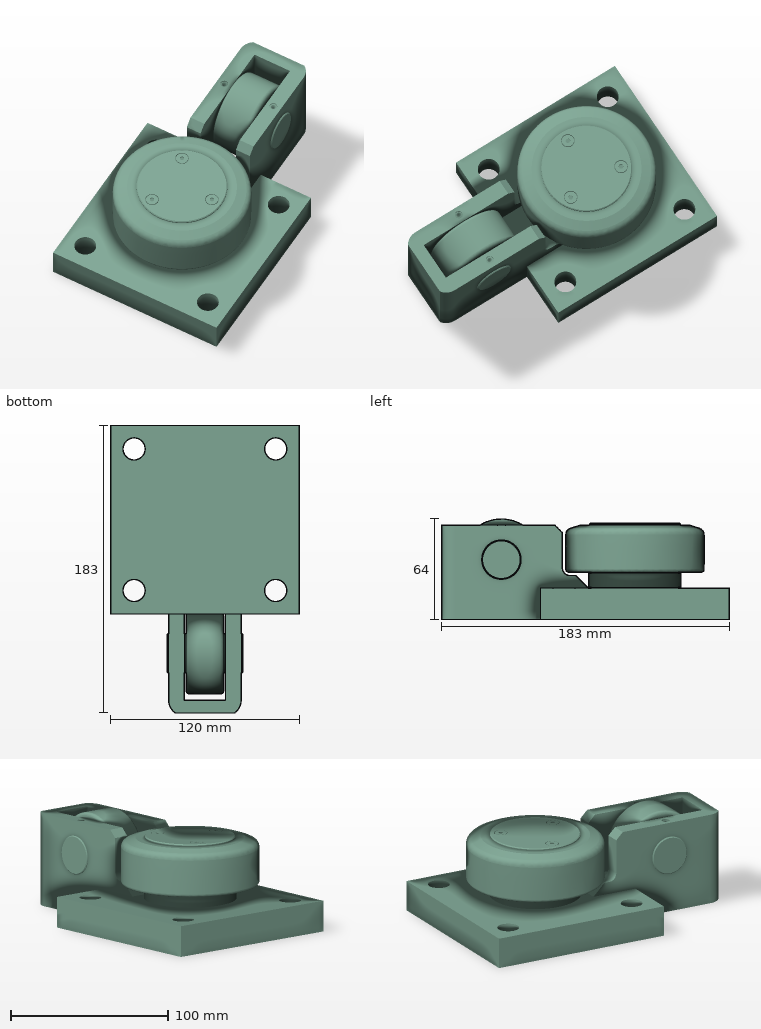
import cadquery as cq
import math

overall_length = 183

plate_side = 120.0
plate_thickness = 20.0
bolt_hole_diameter = 13.9
bolt_hole_offset = 45.0

neck_diameter = 55.3
collar_diameter = 59.0
collar_gap = 0.5
roller_diameter = 88.4
roller_bulge = 0.2
roller_bottom = 30.0
roller_top = 60.0
roller_bottom_fillet = 2.0
crown_flat_radius = 35.0
crown_angle = 18
crown_fillet = 4.4

cover_diameter = 57.8
cover_height = 1.3
cover_chamfer = 0.5
screw_count = 3
screw_circle_radius = 22.0
screw_recess_diameter = 8.6
screw_head_diameter = 7.9
screw_gap_depth = 1.0
screw_socket_corners = 6
screw_socket_width = 3.1
screw_socket_depth = 0.5

fork_back = overall_length - plate_side / 2
fork_width = 46.3
fork_height = roller_top
fork_slot_width = 26.0
fork_back_wall = 8.2
fork_corner_radius = 10.0
fork_corner_inset = 4.4
fork_front = 46.1
fork_top_chamfer = 4.8
fork_foot_top = 28.0
fork_foot_fillet = 5.0
fork_foot_tip = collar_diameter / 2

axle_setback = 38.0
axle_y = fork_back - axle_setback
axle_z = 38.0
side_roller_diameter = 52.0
side_roller_bulge = 0.2
side_roller_width = 24.0
side_roller_fillet = 2.0
pin_diameter = 25.0
pin_length = 48.1
pin_chamfer = 0.5

set_screw_diameter = 5.0
set_screw_depth = 0.5
set_screw_socket_diameter = 3.1
set_screw_socket_angle = 45
set_screw_socket_depth = 1.3


def make_plate():
    plate = cq.Workplane("XY").box(plate_side, plate_side, plate_thickness, centered=(True, True, False))
    return (
        plate.faces(">Z").workplane()
        .rect(2 * bolt_hole_offset, 2 * bolt_hole_offset, forConstruction=True)
        .vertices().hole(bolt_hole_diameter)
    )


def make_main_roller():
    roller_radius = roller_diameter / 2 - roller_bulge
    crown_run = roller_radius - crown_flat_radius
    crown_drop = crown_run * math.tan(math.radians(crown_angle))
    rim = (
        cq.Workplane("XZ")
        .moveTo(0, roller_bottom)
        .lineTo(roller_radius, roller_bottom)
        .threePointArc(
            (roller_radius + roller_bulge, (roller_bottom + roller_top - crown_drop) / 2),
            (roller_radius, roller_top - crown_drop),
        )
        .lineTo(crown_flat_radius, roller_top)
        .lineTo(0, roller_top)
        .close()
        .revolve(360, (0, 0, 0), (0, 1, 0))
    )
    rim = rim.faces("<Z").edges().fillet(roller_bottom_fillet)
    rim = rim.edges("%CIRCLE").edges(">>Z[-2]").fillet(crown_fillet)
    neck = (
        cq.Workplane("XY", origin=(0, 0, plate_thickness))
        .circle(neck_diameter / 2)
        .extrude(roller_bottom - plate_thickness)
    )
    collar = (
        cq.Workplane("XY", origin=(0, 0, plate_thickness + collar_gap))
        .circle(collar_diameter / 2)
        .extrude(roller_bottom - plate_thickness - 2 * collar_gap)
    )
    return neck.union(collar).union(rim)


def make_cover():
    return (
        cq.Workplane("XY", origin=(0, 0, roller_top))
        .circle(cover_diameter / 2)
        .extrude(cover_height)
        .faces(">Z").edges().chamfer(cover_chamfer)
    )


def cut_screws(body):
    places = cq.Workplane("XY", origin=(0, 0, roller_top + cover_height)).polarArray(
        screw_circle_radius, 0, 360, screw_count
    )
    gaps = places.circle(screw_recess_diameter / 2).circle(screw_head_diameter / 2).extrude(-screw_gap_depth)
    sockets = places.polygon(screw_socket_corners, screw_socket_width).extrude(-screw_socket_depth)
    return body.cut(gaps).cut(sockets)


def make_fork():
    half_width = fork_width / 2
    slot_half_width = fork_slot_width / 2
    slot_back = fork_back - fork_back_wall
    corner_reach = math.sqrt(fork_corner_radius**2 - (fork_corner_radius - fork_corner_inset) ** 2)
    corner_end = (half_width - fork_corner_inset, fork_back)
    corner_start = (half_width, fork_back - corner_reach)
    plan = (
        cq.Workplane("XY")
        .moveTo(half_width, 0)
        .lineTo(*corner_start)
        .radiusArc(corner_end, -fork_corner_radius)
        .lineTo(-corner_end[0], corner_end[1])
        .radiusArc((-corner_start[0], corner_start[1]), -fork_corner_radius)
        .lineTo(-half_width, 0)
        .lineTo(-slot_half_width, 0)
        .lineTo(-slot_half_width, slot_back)
        .lineTo(slot_half_width, slot_back)
        .lineTo(slot_half_width, 0)
        .close()
        .extrude(fork_height)
    )
    side = (
        cq.Workplane("YZ", origin=(-half_width, 0, 0))
        .moveTo(fork_back, 0)
        .lineTo(fork_back, fork_height)
        .lineTo(fork_front + fork_top_chamfer, fork_height)
        .lineTo(fork_front, fork_height - fork_top_chamfer)
        .lineTo(fork_front, fork_foot_top + fork_foot_fillet)
        .radiusArc((fork_front - fork_foot_fillet, fork_foot_top), fork_foot_fillet)
        .lineTo(fork_foot_tip + fork_foot_top - plate_thickness, fork_foot_top)
        .lineTo(fork_foot_tip, plate_thickness)
        .lineTo(plate_side / 2, plate_thickness)
        .lineTo(plate_side / 2, 0)
        .close()
        .extrude(fork_width)
    )
    return plan.intersect(side)


def make_axle():
    pin = (
        cq.Workplane("YZ", origin=(-pin_length / 2, axle_y, axle_z))
        .circle(pin_diameter / 2)
        .extrude(pin_length)
        .faces("<X or >X").chamfer(pin_chamfer)
    )
    half_width = side_roller_width / 2
    edge_radius = side_roller_diameter / 2 - side_roller_bulge
    wheel = (
        cq.Workplane("XY", origin=(0, axle_y, axle_z))
        .moveTo(-half_width, 0)
        .lineTo(-half_width, edge_radius)
        .threePointArc((0, side_roller_diameter / 2), (half_width, edge_radius))
        .lineTo(half_width, 0)
        .close()
        .revolve(360, (0, 0, 0), (1, 0, 0))
        .faces("<X or >X").edges().fillet(side_roller_fillet)
    )
    return pin.union(wheel)


def cut_set_screws(body):
    arm_middle = (fork_width + fork_slot_width) / 4
    places = [(-arm_middle, axle_y), (arm_middle, axle_y)]
    recesses = (
        cq.Workplane("XY", origin=(0, 0, fork_height))
        .pushPoints(places)
        .circle(set_screw_diameter / 2)
        .extrude(-set_screw_depth)
    )
    sockets = (
        cq.Workplane("XY", origin=(0, 0, fork_height - set_screw_depth))
        .pushPoints(places)
        .circle(set_screw_socket_diameter / 2)
        .extrude(-set_screw_socket_depth, taper=set_screw_socket_angle)
    )
    return body.cut(recesses).cut(sockets)


def make_base():
    base = make_plate().union(make_main_roller()).union(make_cover())
    return cut_screws(base)


def make_side_guide():
    guide = make_fork().union(make_axle())
    return cut_set_screws(guide)


base = make_base()
side_guide = make_side_guide()
result = cq.Compound.makeCompound([base.val(), side_guide.val()])